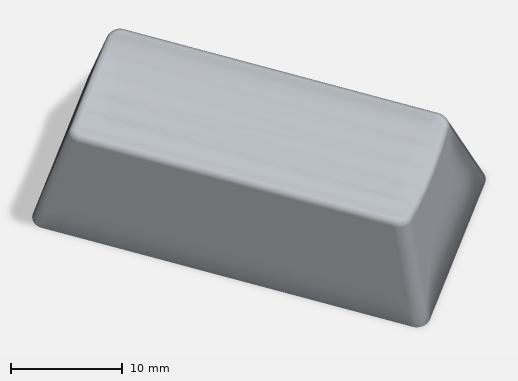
import cadquery as cq

base_length = 37.35
base_width = 18.3
wall_angle = 13.7
corner_radius = 1.27
rim_radius = 0.6

dish_radius = 22.4
dish_bottom = 10.45

block_height = 13.45


def tapered_block():
    """Solid block with four leaning walls and rounded sloping corners."""
    block = cq.Workplane("XY").rect(base_length, base_width).extrude(block_height, taper=wall_angle)
    sloping_edges = block.edges("not(#Z or |X or |Y)")
    return sloping_edges.fillet(corner_radius)


def dish_cutter():
    """Cylinder along X that scoops out the top."""
    return (
        cq.Workplane("YZ")
        .center(0, dish_bottom + dish_radius)
        .circle(dish_radius)
        .extrude(base_length / 2, both=True)
    )


dished_block = tapered_block().cut(dish_cutter())
dish_face = dished_block.faces(">Z")
result = dish_face.edges().fillet(rim_radius)